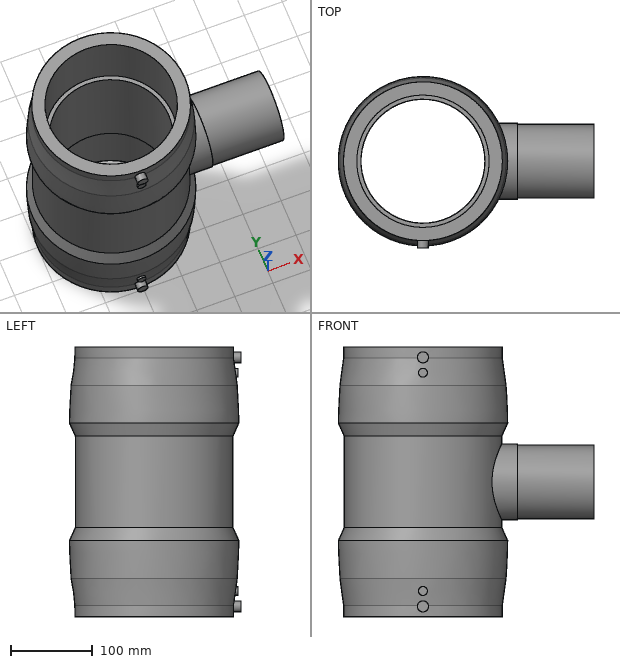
import cadquery as cq

height = 330.0
body_radius = 96.5
bore_radius = 75.5

rim_radius = 97.0
rim_depth = 14.0
cone_radius = 101.5
cone_depth = 47.2
bulge_radius = 103.5
bulge_depth = 93.0
bulge_middle_radius = 103.0
shoulder_depth = 109.2
socket_bore_radius = 81.0
socket_bore_depth = 88.8

branch_radius = 45.2
branch_end = 209.2
collar_radius = 46.5
collar_end = 115.5

terminal_radius = 6.75
terminal_depth = 13.0
terminal_reach = 106.3
indicator_radius = 5.45
indicator_depth = 31.7
indicator_reach = 102.5
pin_root = (rim_radius + socket_bore_radius) / 2


def make_run():
    """Revolve the lower half of the outside, then mirror it about mid height."""
    half = (
        cq.Workplane("XZ")
        .lineTo(rim_radius, 0)
        .lineTo(rim_radius, rim_depth)
        .lineTo(cone_radius, cone_depth)
        .threePointArc(
            (bulge_middle_radius, (cone_depth + bulge_depth) / 2),
            (bulge_radius, bulge_depth),
        )
        .lineTo(body_radius, shoulder_depth)
        .lineTo(body_radius, height / 2)
        .lineTo(0, height / 2)
        .close()
        .revolve(360, (0, 0, 0), (0, 1, 0))
    )
    return half.union(half.mirror("XY", (0, 0, height / 2)))


def make_branch():
    """Spigot and collar, both starting on the run axis."""
    axis_start = cq.Workplane("YZ", origin=(0, 0, height / 2))
    spigot = axis_start.circle(branch_radius).extrude(branch_end)
    collar = axis_start.circle(collar_radius).extrude(collar_end)
    return spigot.union(collar)


def make_pin(radius, reach, z):
    """Round pin rooted inside the socket wall and pointing along -Y."""
    return cq.Workplane("XZ", origin=(0, -pin_root, z)).circle(radius).extrude(reach - pin_root)


def make_bore():
    """Through bore with a wider socket bore at each end."""
    bore = cq.Workplane("XY").circle(bore_radius).extrude(height)
    for socket_start in (0, height - socket_bore_depth):
        socket = (
            cq.Workplane("XY", origin=(0, 0, socket_start))
            .circle(socket_bore_radius)
            .extrude(socket_bore_depth)
        )
        bore = bore.union(socket)
    return bore


result = make_run().union(make_branch())

for pin_radius, pin_reach, pin_depth in (
    (terminal_radius, terminal_reach, terminal_depth),
    (indicator_radius, indicator_reach, indicator_depth),
):
    for pin_z in (pin_depth, height - pin_depth):
        result = result.union(make_pin(pin_radius, pin_reach, pin_z))

result = result.cut(make_bore())